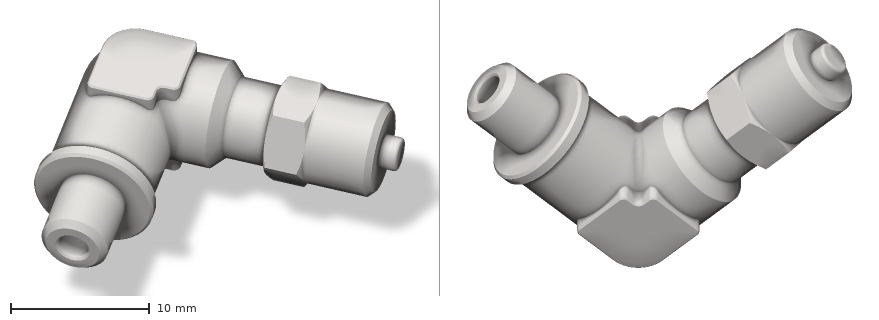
import cadquery as cq
import math

overall_length = 24.5
flange_radius = 9.0 / 2

body_radius = 8.0 / 2
neck_radius = 6.0 / 2
shoulder_end = 7.5
shoulder_start = shoulder_end - (body_radius - neck_radius)
crotch_fillet = 0.45

hex_across_flats = 7.0
hex_flat_radius = hex_across_flats / 2
hex_corner_radius = hex_across_flats / math.sqrt(3)
hex_start = 10.68
hex_thickness = 3.0
hex_end = hex_start + hex_thickness
hex_bevel_angle = 30
hex_bevel_length = (hex_corner_radius - hex_flat_radius) * math.tan(math.radians(hex_bevel_angle))
sleeve_radius = hex_flat_radius
sleeve_end = 18.72
sleeve_chamfer = 0.47
tip_radius = 1.25
tip_end = overall_length - flange_radius
tip_fillet = 0.22

flange_face = 10.5
flange_edge_start = 9.58
flange_chamfer = 0.2
flange_fillet = 0.61
stud_radius = 2.5
stud_end = 15.5
stud_chamfer = 0.5
bore_radius = 1.15
bore_chamfer = 0.15
drill_point_angle = 118

pad_height = flange_radius
pad_inner = 2.5
pad_outer = 4.02
pad_corner_radius = 0.5
pad_chamfer = 0.12


def turned_x(points):
    """Solid of revolution about X from (x, radius) points that start and end on the axis."""
    return cq.Workplane("XY").polyline(points).close().revolve(360, (0, 0), (1, 0))


def straight_arm():
    profile = [
        (0, 0),
        (0, body_radius),
        (shoulder_start, body_radius),
        (shoulder_end, neck_radius),
        (hex_end, neck_radius),
        (hex_end, 0),
    ]
    return turned_x(profile)


def flange_arm():
    rise = flange_radius - body_radius
    fillet_length = math.sqrt(flange_fillet**2 - (flange_fillet - rise) ** 2)
    return (
        cq.Workplane("XY")
        .lineTo(body_radius, 0)
        .lineTo(body_radius, fillet_length - flange_edge_start)
        .radiusArc((flange_radius, -flange_edge_start), -flange_fillet)
        .lineTo(flange_radius, flange_chamfer - flange_face)
        .lineTo(flange_radius - flange_chamfer, -flange_face)
        .lineTo(stud_radius, -flange_face)
        .lineTo(stud_radius, stud_chamfer - stud_end)
        .lineTo(stud_radius - stud_chamfer, -stud_end)
        .lineTo(0, -stud_end)
        .close()
        .revolve(360, (0, 0), (0, 1))
    )


def pad_block():
    """Both wrench pads as one L-cornered block through the elbow."""
    block = (
        cq.Workplane("XY")
        .workplane(offset=-pad_height)
        .moveTo(-pad_inner, 0)
        .radiusArc((0, pad_inner), pad_inner)
        .lineTo(pad_outer, pad_inner)
        .lineTo(pad_outer, -pad_inner)
        .lineTo(pad_inner, -pad_inner)
        .lineTo(pad_inner, -pad_outer)
        .lineTo(-pad_inner, -pad_outer)
        .close()
        .extrude(2 * pad_height)
    )
    sharp_corners = [
        (pad_outer, pad_inner),
        (pad_outer, -pad_inner),
        (pad_inner, -pad_inner),
        (pad_inner, -pad_outer),
        (-pad_inner, -pad_outer),
    ]
    for x, y in sharp_corners:
        block = block.edges(cq.selectors.NearestToPointSelector((x, y, 0))).fillet(pad_corner_radius)
    return block.faces("|Z").edges().chamfer(pad_chamfer)


def elbow():
    outer_corner = cq.Workplane("XY").sphere(body_radius)
    joined = straight_arm().union(flange_arm()).union(outer_corner).union(pad_block())
    crotch_edge = cq.selectors.NearestToPointSelector((body_radius, -body_radius, 0))
    return joined.edges(crotch_edge).fillet(crotch_fillet)


def nut():
    prism = (
        cq.Workplane("YZ")
        .workplane(offset=hex_start)
        .polygon(6, 2 * hex_corner_radius)
        .extrude(hex_thickness)
    )
    bevel = turned_x([
        (hex_start, 0),
        (hex_start, hex_flat_radius),
        (hex_start + hex_bevel_length, hex_corner_radius),
        (hex_end - hex_bevel_length, hex_corner_radius),
        (hex_end, hex_flat_radius),
        (hex_end, 0),
    ])
    sleeve = (
        cq.Workplane("YZ")
        .workplane(offset=hex_end)
        .circle(sleeve_radius)
        .extrude(sleeve_end - hex_end)
        .faces(">X")
        .chamfer(sleeve_chamfer)
    )
    return prism.intersect(bevel).union(sleeve)


def hose_tip():
    return (
        cq.Workplane("YZ")
        .workplane(offset=hex_end)
        .circle(tip_radius)
        .extrude(tip_end - hex_end)
        .faces(">X")
        .edges()
        .fillet(tip_fillet)
    )


def stud_bore():
    """Blind drilled hole up to the elbow centre, chamfered at its mouth."""
    point_length = bore_radius / math.tan(math.radians(drill_point_angle / 2))
    return (
        cq.Workplane("XY")
        .lineTo(bore_radius, -point_length)
        .lineTo(bore_radius, bore_chamfer - stud_end)
        .lineTo(bore_radius + bore_chamfer, -stud_end)
        .lineTo(0, -stud_end)
        .close()
        .revolve(360, (0, 0), (0, 1))
    )


result = elbow().union(nut()).union(hose_tip()).cut(stud_bore())